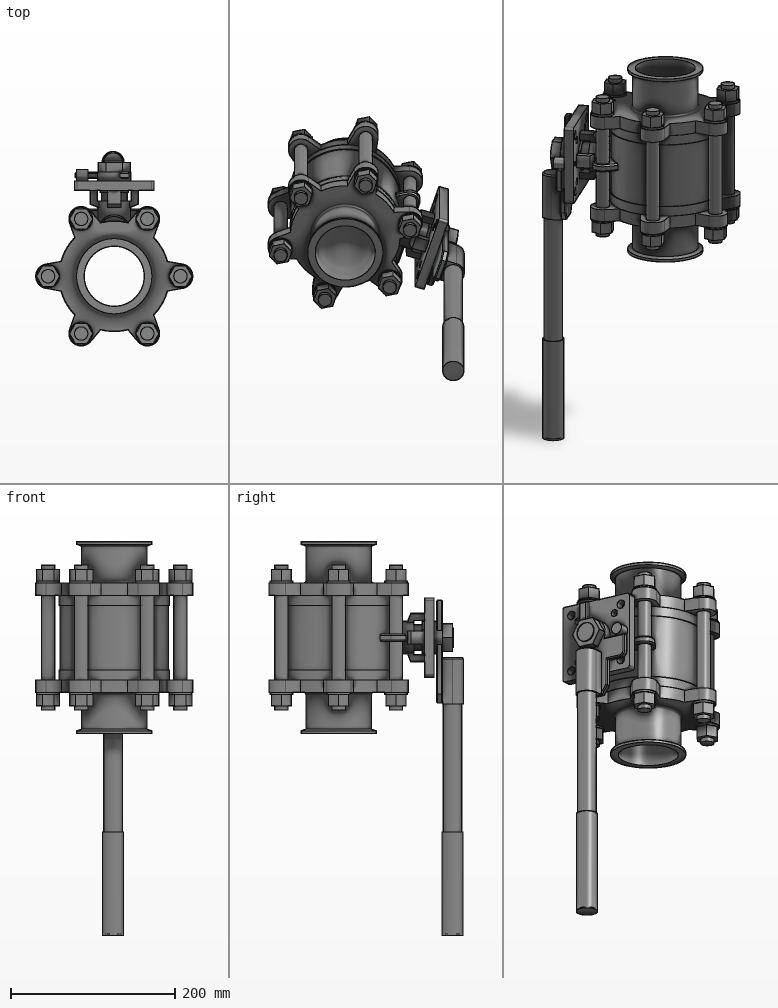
import cadquery as cq
import math


valve_half_height = 234.0 / 2
bore_radius = 36.5
tube_radius = 80.0 / 2
ferrule_radius = 91.5 / 2
ferrule_rim = 3.5
ferrule_taper = 2.0
barrel_radius = 66.5
collar_radius = 135.0 / 2
collar_start = 39.5
tube_root_fillet = 2.5

flange_outer_z = 66.7
flange_thickness = 15.5
flange_inner_z = flange_outer_z - flange_thickness
flange_radius = 134.0 / 2
stud_count = 6
stud_circle_radius = 80.5
width_over_lugs = 191.5
lug_radius = width_over_lugs / 2 - stud_circle_radius
lug_flare_angle = 10.0
stud_radius = 8.0
stud_half_length = 88.5
washer_radius = 14.0
washer_thickness = 2.5
nut_height = 14.0
nut_across_flats = 24.5

ear_radius = 24.5 / 2
ear_thickness = 9.0
ear_chamfer = 2.0

neck_radius = 20.0
neck_end_y = 91.5
pad_radius = 18.5
pad_center_y = 56.0
pad_top_z = 23.0
pad_chamfer = 2.0
post_outer_radius = 30.0
post_inner_radius = 22.0
post_width = 16.0
post_root_y = 84.0
post_cone_end_y = 88.0
plate_near_y = 104.5
plate_thickness = 11.5
plate_side = 97.0
plate_corner_radius = 3.5
outer_bolt_offset = 36.0
outer_bolt_radius = 5.5
inner_bolt_offset = 26.5
inner_bolt_radius = 4.5

pin_x = -39.0
pin_radius = 7.0
pin_height = 14.0
pin_screw_hole_radius = 3.0

stem_radius = 12.0
stem_end_y = 140.0
packing_radius = 16.0
packing_nut_across_flats = 34.5
packing_nut_thickness = 3.0
handle_nut_across_flats = 34.0
handle_nut_height = 12.0

lever_gap = 3.0
lever_thickness = 7.5
lever_edge_chamfer = 1.5
lever_top_z = 45.5
lever_bottom_z = -79.5
lever_right_x = 18.2
lever_left_x = -22.5
lever_tip_chamfer_x = 7.5
lever_tip_chamfer_z = 11.0
stop_arm_end_x = -47.5
stop_arm_bottom_z = -35.5
stop_arm_corner_radius = 6.5
handle_x = -1.5
handle_y = 139.0
socket_radius = 13.5
socket_top_z = -24.0
socket_bottom_z = -80.5
socket_chamfer = 2.0
handle_tube_radius = 11.5
grip_radius = 13.0
grip_top_z = -236.5
overall_height = 480.0
grip_bottom_z = valve_half_height - overall_height
grip_end_thickness = 2.0

plate_far_y = plate_near_y + plate_thickness
lever_near_y = plate_far_y + lever_gap
lever_far_y = lever_near_y + lever_thickness


def hexagon_diameter(across_flats):
    """Corner-to-corner size of a hexagon."""
    return across_flats / math.cos(math.radians(30))


def along_y(start_y):
    """Sketch plane with local axes X and Z; extrude by a negative length to go toward +Y."""
    return cq.Workplane("XZ", origin=(0, start_y, 0))


def disc_along_y(radius, start_y, end_y, x=0.0):
    return along_y(start_y).center(x, 0).circle(radius).extrude(start_y - end_y)


def both_ends(solid):
    """The solid together with its mirror image below the mid-plane."""
    return solid.union(solid.mirror("XY"))


def stud_angle(index):
    return index * 360.0 / stud_count


def make_barrel():
    """Plain barrel with a revolved collar, tube and ferrule at each end."""
    rim_z = valve_half_height - ferrule_rim
    end_piece = (
        cq.Workplane("XZ")
        .moveTo(0, collar_start)
        .lineTo(collar_radius, collar_start)
        .lineTo(collar_radius, flange_inner_z)
        .lineTo(tube_radius + tube_root_fillet, flange_inner_z)
        .lineTo(tube_radius + tube_root_fillet, flange_outer_z)
        .radiusArc((tube_radius, flange_outer_z + tube_root_fillet), tube_root_fillet)
        .lineTo(tube_radius, rim_z - ferrule_taper)
        .lineTo(ferrule_radius, rim_z)
        .lineTo(ferrule_radius, valve_half_height)
        .lineTo(0, valve_half_height)
        .close()
        .revolve(360, (0, 0, 0), (0, 1, 0))
    )
    barrel = (
        cq.Workplane("XY", origin=(0, 0, -collar_start))
        .circle(barrel_radius)
        .extrude(2 * collar_start)
    )
    return barrel.union(both_ends(end_piece))


def make_flange_lug():
    """Rounded lug on the +X side, widening toward the valve axis."""
    flare = math.radians(lug_flare_angle)
    tangent_x = stud_circle_radius + lug_radius * math.sin(flare)
    tangent_y = lug_radius * math.cos(flare)
    root_x = bore_radius + lug_radius
    root_y = tangent_y + (tangent_x - root_x) * math.tan(flare)
    return (
        cq.Workplane("XY", origin=(0, 0, flange_inner_z))
        .moveTo(root_x, -root_y)
        .lineTo(tangent_x, -tangent_y)
        .threePointArc((stud_circle_radius + lug_radius, 0), (tangent_x, tangent_y))
        .lineTo(root_x, root_y)
        .close()
        .extrude(flange_thickness)
    )


def make_flanges():
    flange = (
        cq.Workplane("XY", origin=(0, 0, flange_inner_z))
        .circle(flange_radius)
        .extrude(flange_thickness)
    )
    lug = make_flange_lug()
    for index in range(stud_count):
        flange = flange.union(lug.rotate((0, 0, 0), (0, 0, 1), stud_angle(index)))
    return both_ends(flange)


def make_stud(x, y):
    """Stud rod with a washer and a nut at each end."""
    nut_z = flange_outer_z + washer_thickness
    rod = (
        cq.Workplane("XY", origin=(x, y, -stud_half_length))
        .circle(stud_radius)
        .extrude(2 * stud_half_length)
    )
    washer = (
        cq.Workplane("XY", origin=(x, y, flange_outer_z))
        .circle(washer_radius)
        .extrude(washer_thickness)
    )
    nut = (
        cq.Workplane("XY", origin=(x, y, nut_z))
        .polygon(6, hexagon_diameter(nut_across_flats))
        .extrude(nut_height)
    )
    return rod.union(both_ends(washer.union(nut)))


def make_ears():
    """Radial ears around the two +Y studs, joined by a straight web across the neck."""
    base = cq.Workplane("XY", origin=(0, 0, -ear_thickness / 2))
    radial_ear = (
        base.center(stud_circle_radius / 2, 0)
        .rect(stud_circle_radius, 2 * ear_radius)
        .extrude(ear_thickness)
        .union(base.center(stud_circle_radius, 0).circle(ear_radius).extrude(ear_thickness))
    )
    stud_x = stud_circle_radius * math.cos(math.radians(stud_angle(1)))
    web_end_y = stud_circle_radius * math.sin(math.radians(stud_angle(1))) + ear_radius
    ears = base.center(0, web_end_y / 2).rect(2 * stud_x, web_end_y).extrude(ear_thickness)
    for angle in (stud_angle(1), stud_angle(2)):
        ears = ears.union(radial_ear.rotate((0, 0, 0), (0, 0, 1), angle))
    return ears.clean().faces("<Z or >Z").chamfer(ear_chamfer)


def make_neck():
    """Stem neck with a small chamfered round pad at its root."""
    neck = disc_along_y(neck_radius, 0, neck_end_y)
    pad = (
        cq.Workplane("XY", origin=(0, pad_center_y, 0))
        .circle(pad_radius)
        .extrude(pad_top_z)
        .faces(">Z")
        .chamfer(pad_chamfer)
    )
    return neck.union(pad)


def make_posts():
    """Four posts cut from a ring with a conical root."""
    ring = (
        cq.Workplane("XY")
        .moveTo(0, post_root_y)
        .lineTo(neck_radius, post_root_y)
        .lineTo(post_outer_radius, post_cone_end_y)
        .lineTo(post_outer_radius, plate_near_y)
        .lineTo(post_inner_radius, plate_near_y)
        .lineTo(post_inner_radius, neck_end_y)
        .lineTo(0, neck_end_y)
        .close()
        .revolve(360, (0, 0, 0), (0, 1, 0))
    )
    sketch = along_y(post_root_y)
    length = plate_near_y - post_root_y
    cross = (
        sketch.rect(2 * post_outer_radius, post_width)
        .extrude(-length)
        .union(sketch.rect(post_width, 2 * post_outer_radius).extrude(-length))
    )
    return ring.intersect(cross)


def make_plate():
    """Square mounting plate with two bolt patterns, a stem hole and a screw hole."""
    sketch = along_y(plate_near_y)
    plate = (
        sketch.rect(plate_side, plate_side)
        .extrude(-plate_thickness)
        .edges("|Y")
        .fillet(plate_corner_radius)
    )
    patterns = ((outer_bolt_offset, outer_bolt_radius), (inner_bolt_offset, inner_bolt_radius))
    for offset, radius in patterns:
        holes = (
            sketch.rect(2 * offset, 2 * offset, forConstruction=True)
            .vertices()
            .circle(radius)
            .extrude(-plate_thickness)
        )
        plate = plate.cut(holes)
    plate = plate.cut(disc_along_y(stem_radius, plate_near_y, plate_far_y))
    return plate.cut(disc_along_y(pin_screw_hole_radius, plate_near_y, plate_far_y, pin_x))


def make_housing():
    housing = make_barrel().union(make_flanges()).union(make_ears())
    housing = housing.union(make_neck()).union(make_posts()).union(make_plate())
    for index in range(stud_count):
        angle = math.radians(stud_angle(index))
        x = stud_circle_radius * math.cos(angle)
        y = stud_circle_radius * math.sin(angle)
        housing = housing.union(make_stud(x, y))
    bore = cq.Workplane("XY").circle(bore_radius).extrude(valve_half_height, both=True)
    return housing.cut(bore)


def make_stem():
    """Stem with its packing sleeve and the hexagonal packing nut under the plate."""
    packing_nut_y = plate_near_y - packing_nut_thickness
    stem = disc_along_y(stem_radius, neck_end_y, stem_end_y)
    sleeve = disc_along_y(packing_radius, neck_end_y, packing_nut_y)
    packing_nut = (
        along_y(packing_nut_y)
        .polygon(6, hexagon_diameter(packing_nut_across_flats))
        .extrude(-packing_nut_thickness)
        .rotate((0, 0, 0), (0, 1, 0), 30)
    )
    return stem.union(sleeve).union(packing_nut)


def make_handle_nut():
    return (
        along_y(lever_far_y)
        .polygon(6, hexagon_diameter(handle_nut_across_flats))
        .circle(stem_radius)
        .extrude(-handle_nut_height)
    )


def make_stop_pin():
    return disc_along_y(pin_radius, plate_far_y, plate_far_y + pin_height, pin_x)


def make_lever_plate():
    """Lever plate with an upper and a left stop arm, a quarter turn apart, and a round hub."""
    corner_x = stop_arm_end_x + stop_arm_corner_radius
    corner_z = stop_arm_bottom_z + stop_arm_corner_radius
    diagonal = stop_arm_corner_radius * math.sqrt(0.5)
    plate = (
        along_y(lever_near_y)
        .moveTo(pin_radius, lever_top_z)
        .lineTo(lever_right_x, lever_top_z)
        .lineTo(lever_right_x, lever_bottom_z + lever_tip_chamfer_z)
        .lineTo(lever_right_x - lever_tip_chamfer_x, lever_bottom_z)
        .lineTo(lever_left_x + lever_tip_chamfer_x, lever_bottom_z)
        .lineTo(lever_left_x, lever_bottom_z + lever_tip_chamfer_z)
        .lineTo(lever_left_x, stop_arm_bottom_z)
        .lineTo(corner_x, stop_arm_bottom_z)
        .threePointArc((corner_x - diagonal, corner_z - diagonal), (stop_arm_end_x, corner_z))
        .lineTo(stop_arm_end_x, -pin_radius)
        .lineTo(pin_radius, -pin_radius)
        .close()
        .extrude(-lever_thickness)
        .faces("<Y or >Y")
        .chamfer(lever_edge_chamfer)
    )
    hub = disc_along_y(neck_radius, plate_far_y, lever_far_y)
    return plate.union(hub).cut(disc_along_y(stem_radius, plate_far_y, lever_far_y))


def make_socket():
    """D-shaped handle socket on the far face of the lever plate."""
    return (
        cq.Workplane("XY", origin=(handle_x, 0, socket_bottom_z))
        .moveTo(-socket_radius, lever_far_y)
        .lineTo(socket_radius, lever_far_y)
        .lineTo(socket_radius, handle_y)
        .threePointArc((0, handle_y + socket_radius), (-socket_radius, handle_y))
        .close()
        .extrude(socket_top_z - socket_bottom_z)
        .faces(">Z")
        .edges("%CIRCLE")
        .chamfer(socket_chamfer)
    )


def make_handle_rod():
    rod_end_z = grip_bottom_z + grip_end_thickness
    return (
        cq.Workplane("XY", origin=(handle_x, handle_y, rod_end_z))
        .circle(handle_tube_radius)
        .extrude(socket_bottom_z - rod_end_z)
    )


def make_lever():
    return make_lever_plate().union(make_socket()).union(make_handle_rod())


def make_grip():
    """Closed-end sleeve pushed over the lower end of the handle rod."""
    return (
        cq.Workplane("XY", origin=(handle_x, handle_y, grip_bottom_z))
        .circle(grip_radius)
        .extrude(grip_top_z - grip_bottom_z)
        .cut(make_handle_rod())
    )


housing = make_housing()
stem = make_stem()
handle_nut = make_handle_nut()
stop_pin = make_stop_pin()
lever = make_lever()
grip = make_grip()

result = cq.Compound.makeCompound(
    [
        housing.val(),
        stem.val(),
        handle_nut.val(),
        stop_pin.val(),
        lever.val(),
        grip.val(),
    ]
)